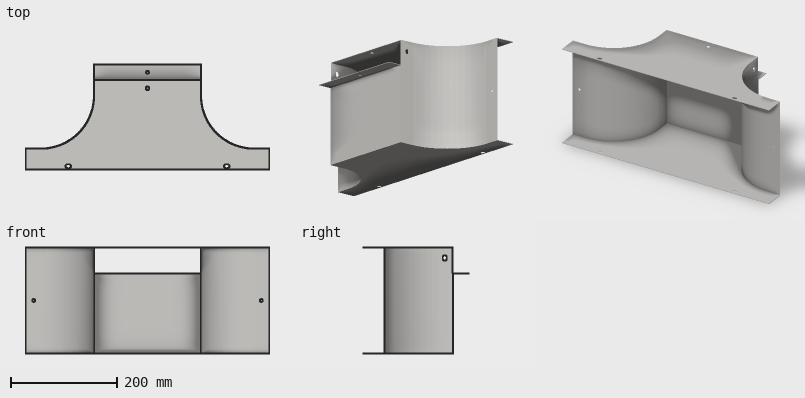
import cadquery as cq

sheet = 1.0
inner_height = 199.0
inner_neck_width = 200.0
bend_radius = 100.0
end_flat = 29.0
neck_flat = 29.0
plate_lip = 40.0
tab_length = 30.0
rear_wall_drop = 49.0

slot_width = 7.0
slot_length = 10.0
lip_slot_spacing = 298.0
lip_slot_setback = 6.5
neck_hole_setback = 15.0
neck_slot_drop = 20.5
top_hole_diameter = 7.0
small_hole_diameter = 5.0
end_hole_setback = 15.0

height = inner_height + 2 * sheet
outer_neck_half = inner_neck_width / 2 + sheet
outer_radius = bend_radius - sheet
arc_end_x = outer_neck_half + outer_radius
half_width = arc_end_x + end_flat
arc_end_y = plate_lip + outer_radius
rear_y = arc_end_y + neck_flat
rear_tab_top = height - rear_wall_drop
neck_hole_y = rear_y - neck_hole_setback


def mirrored(shape):
    """Return the shape together with its mirror image across X = 0."""
    return shape.union(shape.mirror("YZ"))


def make_plate(bottom_z):
    """T-shaped plate with concave quarter-round corners."""
    return (
        cq.Workplane("XY", origin=(0, 0, bottom_z))
        .moveTo(-half_width, 0)
        .lineTo(half_width, 0)
        .lineTo(half_width, plate_lip)
        .lineTo(arc_end_x, plate_lip)
        .radiusArc((outer_neck_half, arc_end_y), outer_radius)
        .lineTo(outer_neck_half, rear_y)
        .lineTo(-outer_neck_half, rear_y)
        .lineTo(-outer_neck_half, arc_end_y)
        .radiusArc((-arc_end_x, plate_lip), outer_radius)
        .lineTo(-half_width, plate_lip)
        .close()
        .extrude(sheet)
    )


def make_side_wall():
    """Right-hand wall: end flat, quarter-round bend and neck flat."""
    return (
        cq.Workplane("XY")
        .moveTo(half_width, plate_lip)
        .lineTo(arc_end_x, plate_lip)
        .radiusArc((outer_neck_half, arc_end_y), outer_radius)
        .lineTo(outer_neck_half, rear_y)
        .lineTo(outer_neck_half - sheet, rear_y)
        .lineTo(outer_neck_half - sheet, arc_end_y)
        .radiusArc((arc_end_x, plate_lip - sheet), -bend_radius)
        .lineTo(half_width, plate_lip - sheet)
        .close()
        .extrude(height)
    )


def make_rear_wall():
    """Wall lapped on the rear of the lower neck, with a tab folded outward at its top."""
    return (
        cq.Workplane("YZ", origin=(-outer_neck_half, 0, 0))
        .moveTo(rear_y, 0)
        .lineTo(rear_y + sheet, 0)
        .lineTo(rear_y + sheet, rear_tab_top - sheet)
        .lineTo(rear_y + tab_length, rear_tab_top - sheet)
        .lineTo(rear_y + tab_length, rear_tab_top)
        .lineTo(rear_y, rear_tab_top)
        .close()
        .extrude(2 * outer_neck_half)
    )


def cut_lip_slots(body):
    """Slots near the front edge, through both plates."""
    cutter = (
        cq.Workplane("XY")
        .pushPoints([(side * lip_slot_spacing / 2, lip_slot_setback) for side in (-1, 1)])
        .slot2D(slot_length, slot_width)
        .extrude(height)
    )
    return body.cut(cutter)


def cut_neck_slots(body):
    """Upright slots through both neck side walls, near the top."""
    cutter = (
        cq.Workplane("YZ")
        .center(neck_hole_y, height - neck_slot_drop)
        .slot2D(slot_length, slot_width, 90)
        .extrude(outer_neck_half, both=True)
    )
    return body.cut(cutter)


def cut_top_hole(body):
    """Round hole through the top plate only, near the rear of the neck."""
    cutter = (
        cq.Workplane("XY", origin=(0, neck_hole_y, height - sheet))
        .circle(top_hole_diameter / 2)
        .extrude(sheet)
    )
    return body.cut(cutter)


def cut_tab_hole(body):
    """Round hole in the middle of the rear tab."""
    cutter = (
        cq.Workplane("XY", origin=(0, rear_y + tab_length - end_hole_setback, rear_tab_top - sheet))
        .circle(small_hole_diameter / 2)
        .extrude(sheet)
    )
    return body.cut(cutter)


def cut_end_holes(body):
    """Round holes at mid height in the end flats of both side walls."""
    hole_x = half_width - end_hole_setback
    cutter = (
        cq.Workplane("XZ", origin=(0, plate_lip, height / 2))
        .pushPoints([(-hole_x, 0), (hole_x, 0)])
        .circle(small_hole_diameter / 2)
        .extrude(sheet)
    )
    return body.cut(cutter)


body = make_plate(0).union(make_plate(height - sheet))
body = body.union(mirrored(make_side_wall()))
body = body.union(make_rear_wall())
body = cut_lip_slots(body)
body = cut_neck_slots(body)
body = cut_top_hole(body)
body = cut_tab_hole(body)
result = cut_end_holes(body)